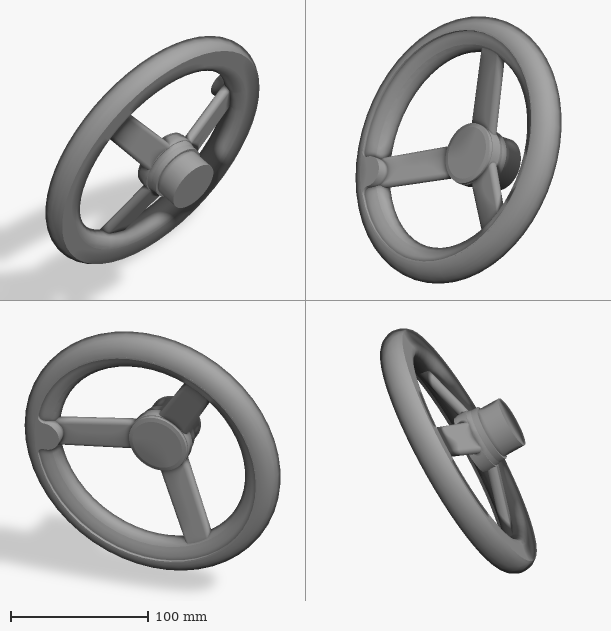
import cadquery as cq
import math


outer_radius = 100.0
rim_section_radius = 13.0
rim_centre_radius = outer_radius - rim_section_radius
section_centre_x = rim_section_radius
rim_depth = 22.2
opening_radius = 73.8
opening_round = rim_depth - section_centre_x
lip_radius = 88.0
relief_wall_radius = 86.8
relief_wall_depth = 2.2
relief_inner_radius = 77.5
relief_curve_radius = 24.0

total_depth = 58.0
hub_face_x = 21.5
hub_band_start_x = 24.8
hub_band_end_x = 32.5
flange_start_x = 36.2
flange_end_x = 41.0
hub_nose_radius = 22.5
nose_chamfer_depth = 0.8
hub_band_radius = 23.2
neck_radius = 22.4
flange_radius = 43.0 / 2
spigot_radius = 39.0 / 2
hub_face_radius = spigot_radius

spoke_count = 3
spoke_lean = 18.6
spoke_thickness = 7.2
spoke_edge_radius = 3.4
spoke_start_radius = 16.0
spoke_end_radius = 84.0
spoke_start_width = 25.0
spoke_end_width = 22.8
spoke_front_x = 24.4

boss_centre_radius = 80.0
boss_radius = 11.4
boss_depth = 10.0
boss_blend_radius = 4.5


def make_rim():
    """Revolve the rim section; profile points are (x, radius from the wheel axis)."""
    lip_x = section_centre_x - math.sqrt(
        rim_section_radius**2 - (lip_radius - rim_centre_radius) ** 2
    )
    back_corner_radius = rim_centre_radius + math.sqrt(
        rim_section_radius**2 - (rim_depth - section_centre_x) ** 2
    )
    round_centre_radius = opening_radius + opening_round
    relief_inner_x = section_centre_x - math.sqrt(
        opening_round**2 - (relief_inner_radius - round_centre_radius) ** 2
    )
    profile = (
        cq.Workplane("XY")
        .moveTo(lip_x, lip_radius)
        .threePointArc((section_centre_x, outer_radius), (rim_depth, back_corner_radius))
        .lineTo(rim_depth, round_centre_radius)
        .threePointArc((section_centre_x, opening_radius), (relief_inner_x, relief_inner_radius))
        .radiusArc((relief_wall_depth, relief_wall_radius), relief_curve_radius)
        .close()
    )
    return profile.revolve(360, (0, 0, 0), (1, 0, 0))


def make_hub():
    """Revolve the stepped hub; profile points are (x, radius from the wheel axis)."""
    profile = (
        cq.Workplane("XY")
        .moveTo(hub_face_x, 0)
        .lineTo(hub_face_x, hub_face_radius)
        .lineTo(hub_face_x + nose_chamfer_depth, hub_nose_radius)
        .lineTo(hub_band_start_x, hub_nose_radius)
        .lineTo(hub_band_start_x, hub_band_radius)
        .lineTo(hub_band_end_x, hub_band_radius)
        .lineTo(hub_band_end_x, neck_radius)
        .lineTo(flange_start_x, flange_radius)
        .lineTo(flange_end_x, flange_radius)
        .lineTo(flange_end_x, spigot_radius)
        .lineTo(total_depth, spigot_radius)
        .lineTo(total_depth, 0)
        .close()
    )
    return profile.revolve(360, (0, 0, 0), (1, 0, 0))


def make_spoke():
    """Tapered bar with rounded long edges, running out along +Y and leaning toward -X."""
    lean = math.radians(spoke_lean)
    start_x = spoke_front_x + (hub_band_radius - spoke_start_radius) * math.tan(lean)
    length = (spoke_end_radius - spoke_start_radius) / math.cos(lean)
    start_half = spoke_start_width / 2
    end_half = spoke_end_width / 2
    bar = (
        cq.Workplane("YZ")
        .polyline([(0, -start_half), (length, -end_half), (length, end_half), (0, start_half)])
        .close()
        .extrude(spoke_thickness)
        .edges("not (|X or |Z)")
        .fillet(spoke_edge_radius)
    )
    return bar.rotate((0, 0, 0), (0, 0, 1), spoke_lean).translate((start_x, spoke_start_radius, 0))


def make_handle_boss():
    """Flat round boss blended into the thin lip ring that stands around the relief."""
    inside_lip = cq.Workplane("YZ").circle(lip_radius).extrude(boss_depth)
    lip_ring = inside_lip.cut(cq.Workplane("YZ").circle(relief_wall_radius).extrude(boss_depth))
    boss = cq.Workplane("YZ").center(boss_centre_radius, 0).circle(boss_radius).extrude(boss_depth)
    joined = lip_ring.union(boss.intersect(inside_lip))
    corner_edges = joined.edges("|X").edges(">Z or <Z")
    return corner_edges.fillet(boss_blend_radius)


spoke = make_spoke()
result = make_rim().union(make_hub()).union(make_handle_boss())
for index in range(spoke_count):
    turn = index * 360 / spoke_count
    result = result.union(spoke.rotate((0, 0, 0), (1, 0, 0), turn))